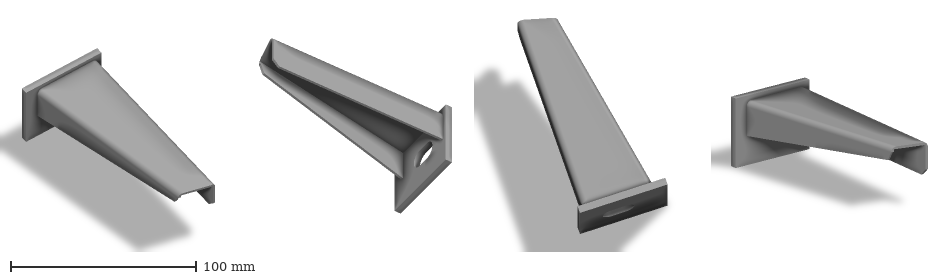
import cadquery as cq
import math

plate_thickness = 4.0
plate_width = 50.0
plate_height = 40.0
slot_length = 18.0
slot_height = 11.1
slot_offset = 3.0

arm_tip_x = 114
sheet = 1.5
bend_radius = 3.0
arm_top_z = plate_height / 2 - 3.1
flange_depth = 19.8
straight_flange_y = 22.1
tip_chamfer = 4.0

slant_root_y = -14.9
slant_tip_x = 110.0
slant_tip_y = 4.1
slant_tip_depth = 8.1
slant_tip_setback = 2.5

slant_run = slant_tip_x - plate_thickness
slant_rise = slant_tip_y - slant_root_y
slant_length = math.hypot(slant_run, slant_rise)
slant_angle = math.atan2(slant_rise, slant_run)

straight_bend_y = straight_flange_y - bend_radius
straight_length = arm_tip_x - plate_thickness

web_end_angle = math.atan2(arm_tip_x - slant_tip_x, straight_bend_y - slant_tip_y)
bend_setback = bend_radius * math.tan(web_end_angle + slant_angle)


def make_plate():
    """Rectangular plate with a horizontal slot through it."""
    plate = cq.Workplane("XY").box(plate_thickness, plate_width, plate_height)
    plate = plate.translate((plate_thickness / 2, 0, 0))
    slot = (
        cq.Workplane("YZ")
        .center(slot_offset, 0)
        .slot2D(slot_length, slot_height)
        .extrude(plate_thickness)
    )
    return plate.cut(slot)


def make_web():
    """Flat top of the arm, between the two bend lines."""
    return (
        cq.Workplane("XY")
        .workplane(offset=arm_top_z - sheet)
        .moveTo(plate_thickness, slant_root_y)
        .lineTo(slant_tip_x, slant_tip_y)
        .lineTo(arm_tip_x, straight_bend_y)
        .lineTo(plate_thickness, straight_bend_y)
        .close()
        .extrude(sheet)
    )


def make_bend(length):
    """Bend, rounded outside and square inside, from the web down to the top of a flange."""
    diagonal = math.sqrt(0.5)
    return (
        cq.Workplane("YZ")
        .moveTo(0, 0)
        .threePointArc(
            (-bend_radius * diagonal, bend_radius * (diagonal - 1)),
            (-bend_radius, -bend_radius),
        )
        .lineTo(sheet - bend_radius, -bend_radius)
        .lineTo(sheet - bend_radius, -sheet)
        .lineTo(0, -sheet)
        .close()
        .extrude(length)
    )


def make_flange(outline):
    """Flat flange from an outline of (distance along the bend, height) points."""
    flange = cq.Workplane("XZ").polyline(outline).close().extrude(sheet)
    return flange.translate((0, sheet - bend_radius, 0))


def make_straight_fold():
    """Full-depth flange parallel to X, with a chamfered lower tip."""
    flange = make_flange([
        (0, -bend_radius),
        (straight_length, -bend_radius),
        (straight_length, tip_chamfer - flange_depth),
        (straight_length - tip_chamfer, -flange_depth),
        (0, -flange_depth),
    ])
    fold = make_bend(straight_length).union(flange)
    return fold.mirror("XZ").translate((plate_thickness, straight_bend_y, arm_top_z))


def make_slanted_fold():
    """Flange along the oblique side, tapering in depth toward the tip."""
    flange_length = slant_length - bend_setback
    flange = make_flange([
        (0, -bend_radius),
        (flange_length, -bend_radius),
        (flange_length - slant_tip_setback, -slant_tip_depth),
        (0, -flange_depth),
    ])
    tip_cut = (
        cq.Workplane("XY")
        .moveTo(slant_length, 0)
        .lineTo(slant_length, -bend_radius)
        .lineTo(flange_length, -bend_radius)
        .close()
        .extrude(-bend_radius)
    )
    fold = make_bend(slant_length).cut(tip_cut).union(flange)
    fold = fold.rotate((0, 0, 0), (0, 0, 1), math.degrees(slant_angle))
    return fold.translate((plate_thickness, slant_root_y, arm_top_z))


plate = make_plate()
arm = make_web().union(make_straight_fold()).union(make_slanted_fold())

result = cq.Compound.makeCompound([plate.val(), *arm.solids().vals()])